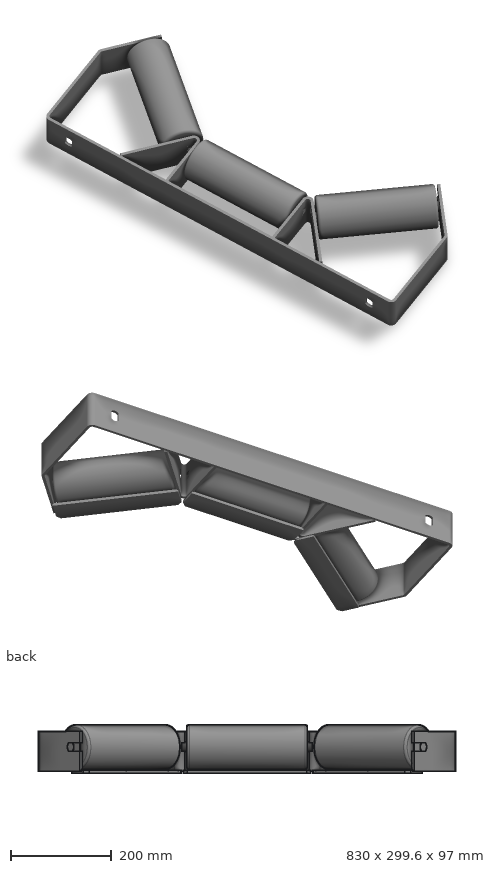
import cadquery as cq
import math

FRAME_LENGTH = 830.0
STRIP_HEIGHT = 80.0
STRIP_THICKNESS = 6.0
BEND_INNER_RADIUS = 6.0
BEND_OUTER_RADIUS = BEND_INNER_RADIUS + STRIP_THICKNESS
FRAME_SHOULDER_Y = 198.0
FRAME_TIP_LENGTH = 129.0
TROUGH_ANGLE = 40.0

MOUNT_SLOT_X = 358.0
MOUNT_SLOT_WIDTH = 17.0
MOUNT_SLOT_HEIGHT = 25.0

ROLLER_DIAMETER = 89.0
ROLLER_LENGTH = 240.0
ROLLER_EDGE_RADIUS = 5.0
ROLLER_TOP_Z = 97.0
SHAFT_DIAMETER = 20.0
SHAFT_FLATS = 17.0
MIDDLE_ROLLER_Y = 100.0
WING_ROLLER_X = 251.5
WING_ROLLER_Y = 189.0

GUARD_THICKNESS = STRIP_THICKNESS
GUARD_DROP = 4.0
GUARD_LENGTH = 254.0
GUARD_CHAMFER = 8.0

BRACKET_FACE = 124.0

STRIP_BOTTOM = GUARD_DROP
ROLLER_RADIUS = ROLLER_DIAMETER / 2
ROLLER_AXIS_Z = ROLLER_TOP_Z - ROLLER_RADIUS
SHAFT_LENGTH = 2 * (BRACKET_FACE + STRIP_THICKNESS)
TILT_SIN = math.sin(math.radians(TROUGH_ANGLE))
TILT_COS = math.cos(math.radians(TROUGH_ANGLE))

ROLLER_PLACES = [
    (-WING_ROLLER_X, WING_ROLLER_Y, -TROUGH_ANGLE),
    (0, MIDDLE_ROLLER_Y, 0),
    (WING_ROLLER_X, WING_ROLLER_Y, TROUGH_ANGLE),
]


def at_roller(body, place):
    """Move a body built about the origin, with its length along X, to a roller's place."""
    x, y, angle = place
    return body.rotate((0, 0, 0), (0, 0, 1), angle).translate((x, y, 0))


def inward_normal(start, end):
    """Unit vector pointing to the right of the direction from start to end."""
    dx = end[0] - start[0]
    dy = end[1] - start[1]
    length = math.hypot(dx, dy)
    return dy / length, -dx / length


def inner_corner(before, corner, after):
    """Corner of the strip's inner face, where the inner lines of two legs of the path meet."""
    first_x, first_y = inward_normal(before, corner)
    second_x, second_y = inward_normal(corner, after)
    reach = STRIP_THICKNESS / (1 + first_x * second_x + first_y * second_y)
    return corner[0] + reach * (first_x + second_x), corner[1] + reach * (first_y + second_y)


def square_end(start, end, point):
    """Inner corner of a square-cut strip end at point, on the leg from start to end."""
    normal_x, normal_y = inward_normal(start, end)
    return point[0] + STRIP_THICKNESS * normal_x, point[1] + STRIP_THICKNESS * normal_y


def bent_strip(outer):
    """Upright strip folded along the outer path, its thickness on the right of the path."""
    folds = [inner_corner(*outer[i - 1:i + 2]) for i in range(1, len(outer) - 1)]
    first = square_end(outer[0], outer[1], outer[0])
    last = square_end(outer[-2], outer[-1], outer[-1])
    outline = outer + [last] + folds[::-1] + [first]
    profile = cq.Workplane("XY", origin=(0, 0, STRIP_BOTTOM)).polyline(outline).close()
    strip = profile.extrude(STRIP_HEIGHT)
    middle = STRIP_BOTTOM + STRIP_HEIGHT / 2
    for corners, radius in ((outer[1:-1], BEND_OUTER_RADIUS), (folds, BEND_INNER_RADIUS)):
        for x, y in corners:
            strip = strip.edges(cq.selectors.NearestToPointSelector((x, y, middle))).fillet(radius)
    return strip


def round_bar(diameter, length):
    """Bar along X, centred on the origin."""
    return cq.Workplane("YZ", origin=(-length / 2, 0, 0)).circle(diameter / 2).extrude(length)


def flatted_bar():
    """Bar as long as the shaft, with two flats facing up and down."""
    flats = cq.Workplane("XY").box(SHAFT_LENGTH, SHAFT_DIAMETER, SHAFT_FLATS)
    return round_bar(SHAFT_DIAMETER, SHAFT_LENGTH).intersect(flats)


def shaft_slot(place):
    """Cutter for the slots that take a shaft, open toward +Y of the roller."""
    opening = cq.Workplane("XY").box(SHAFT_LENGTH, ROLLER_RADIUS, SHAFT_FLATS, centered=(True, False, True))
    cutter = flatted_bar().union(opening).translate((0, 0, ROLLER_AXIS_Z))
    return at_roller(cutter, place)


def mount_slot(x):
    """Cutter through the frame base: a round hole narrowed by two upright flats."""
    depth = STRIP_THICKNESS
    middle = STRIP_BOTTOM + STRIP_HEIGHT / 2
    hole = cq.Workplane("XZ", origin=(x, 0, middle)).circle(MOUNT_SLOT_HEIGHT / 2).extrude(-depth)
    flats = cq.Workplane("XY", origin=(x, depth / 2, middle)).box(MOUNT_SLOT_WIDTH, depth, MOUNT_SLOT_HEIGHT)
    return hole.intersect(flats)


def make_frame():
    half = FRAME_LENGTH / 2
    tip_x = half - FRAME_TIP_LENGTH * TILT_SIN
    tip_y = FRAME_SHOULDER_Y + FRAME_TIP_LENGTH * TILT_COS
    outer = [
        (tip_x, tip_y), (half, FRAME_SHOULDER_Y), (half, 0),
        (-half, 0), (-half, FRAME_SHOULDER_Y), (-tip_x, tip_y),
    ]
    frame = bent_strip(outer)
    for x in (-MOUNT_SLOT_X, MOUNT_SLOT_X):
        frame = frame.cut(mount_slot(x))
    for place in (ROLLER_PLACES[0], ROLLER_PLACES[2]):
        frame = frame.cut(shaft_slot(place))
    return frame


def make_left_bracket():
    """Folded strip that carries the inner end of the left roller and the left end of the middle one."""
    wall_x = -BRACKET_FACE
    face_x = -WING_ROLLER_X + BRACKET_FACE * TILT_COS
    face_y = WING_ROLLER_Y - BRACKET_FACE * TILT_SIN
    apex_y = face_y + (wall_x - face_x) * TILT_COS / TILT_SIN
    foot_y = STRIP_THICKNESS + STRIP_THICKNESS * TILT_SIN
    foot_x = face_x + (foot_y - face_y) * TILT_SIN / TILT_COS
    bracket = bent_strip([(foot_x, foot_y), (wall_x, apex_y), (wall_x, STRIP_THICKNESS)])
    for place in ROLLER_PLACES[:2]:
        bracket = bracket.cut(shaft_slot(place))
    return bracket


def make_roller(place):
    """Drum with its shaft, which is round between the walls and flatted inside the slots."""
    drum = round_bar(ROLLER_DIAMETER, ROLLER_LENGTH).edges("%CIRCLE").fillet(ROLLER_EDGE_RADIUS)
    shaft = round_bar(SHAFT_DIAMETER, 2 * BRACKET_FACE).union(flatted_bar())
    return at_roller(drum.union(shaft).translate((0, 0, ROLLER_AXIS_Z)), place)


def make_guard(place):
    """Flat plate below one roller, from the roller's axis out to its upper side."""
    plate = (
        cq.Workplane("XY")
        .box(GUARD_LENGTH, ROLLER_RADIUS, GUARD_THICKNESS, centered=(True, False, False))
        .edges("|Z and >Y")
        .chamfer(GUARD_CHAMFER)
    )
    return at_roller(plate, place)


guards = [make_guard(place) for place in ROLLER_PLACES]
frame = make_frame()
left_bracket = make_left_bracket()
for guard in guards:
    frame = frame.cut(guard)
    left_bracket = left_bracket.cut(guard)
right_bracket = left_bracket.mirror("YZ")
rollers = [make_roller(place) for place in ROLLER_PLACES]

result = cq.Compound.makeCompound([
    frame.val(),
    left_bracket.val(),
    right_bracket.val(),
    *[roller.val() for roller in rollers],
    *[guard.val() for guard in guards],
])